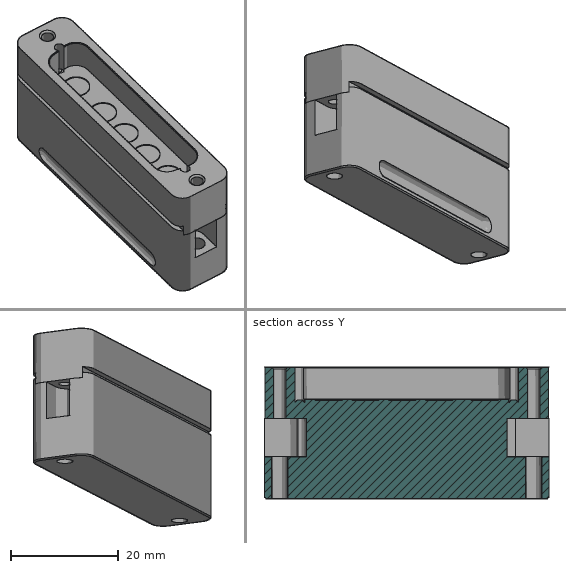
import cadquery as cq
import math


BODY_LENGTH = 52.73
CAP_LENGTH = 52.69
WIDTH = 12.18
HEIGHT = 24.38
CORNER_RADIUS = 2.59
BOTTOM_CHAMFER = 0.25

TONGUE_WIDTH = 9.76
TONGUE_BOTTOM_Z = 14.86
BODY_TOP_Z = 15.92
CAP_BOTTOM_Z = 17.0

POCKET_WIDTH = 8.6
POCKET_MID_LENGTH = 38.45
POCKET_SIDE_ANGLE = 10.0
POCKET_CORNER_RADIUS = 2.75
POCKET_DEPTH = 5.9
POCKET_CHAMFER = 0.15
CHAMFER_ANGLE = 45.0

RECESS_DIAMETER = 4.98
RECESS_DEPTH = 0.2
RECESS_PITCH = 6.83
RECESS_ROW_X = -6.03
RECESS_ROW_COUNT = 4
LONE_RECESS_X = -14.45

SCREW_X = 23.53
SCREW_HOLE_DIAMETER = 2.26
SCREW_COUNTERSINK_DIAMETER = 2.95
SCREW_CLEARANCE_DIAMETER = 2.95

PIN_X = 19.8
PIN_DIAMETER = 1.78
PIN_TIP_DIAMETER = 0.9
PIN_TIP_HEIGHT = 0.45
PIN_HOLE_BELOW_FLOOR = 0.6

WINDOW_WIDTH = 4.85
WINDOW_FLOOR_Z = 7.82
WINDOW_ARC_X = 22.25
WINDOW_NOTCH_DIAMETER = 2.36

GROOVE_CENTRE_X = 0.51
GROOVE_LENGTH = 36.6
GROOVE_WIDTH = 3.17
GROOVE_Z = 2.54
GROOVE_FLOOR_WIDTH = 0.48
GROOVE_DEPTH = 1.0


def cylinder(diameter, x, bottom_z, top_z):
    """Vertical cylinder on the centre plane of the part."""
    return cq.Workplane("XY", origin=(x, 0, bottom_z)).circle(diameter / 2).extrude(top_z - bottom_z)


def cone(bottom_diameter, top_diameter, x, bottom_z, top_z):
    """Vertical truncated cone on the centre plane of the part."""
    base = cq.Vector(x, 0, bottom_z)
    frustum = cq.Solid.makeCone(bottom_diameter / 2, top_diameter / 2, top_z - bottom_z, pnt=base)
    return cq.Workplane(frustum)


def rounded_block(length, bottom_z, top_z):
    """Full-width block with rounded vertical corners."""
    block = cq.Workplane("XY", origin=(0, 0, bottom_z)).rect(length, WIDTH).extrude(top_z - bottom_z)
    return block.edges("|Z").fillet(CORNER_RADIUS)


def tongue_zone(bottom_z, top_z):
    """Band along the length that limits the width of the tongue."""
    band = cq.Workplane("XY", origin=(0, 0, bottom_z))
    return band.rect(2 * BODY_LENGTH, TONGUE_WIDTH).extrude(top_z - bottom_z)


def make_shell():
    body = rounded_block(BODY_LENGTH, 0, BODY_TOP_Z).faces("<Z").chamfer(BOTTOM_CHAMFER)
    body = body.cut(tongue_zone(TONGUE_BOTTOM_Z, BODY_TOP_Z))
    tongue = rounded_block(CAP_LENGTH, TONGUE_BOTTOM_Z, CAP_BOTTOM_Z)
    tongue = tongue.intersect(tongue_zone(TONGUE_BOTTOM_Z, CAP_BOTTOM_Z))
    cap = rounded_block(CAP_LENGTH, CAP_BOTTOM_Z, HEIGHT)
    return body.union(tongue).union(cap)


def make_pocket():
    half_width = POCKET_WIDTH / 2
    half_mid = POCKET_MID_LENGTH / 2
    lean = half_width * math.tan(math.radians(POCKET_SIDE_ANGLE))
    outline = [
        (-half_mid + lean, -half_width),
        (half_mid - lean, -half_width),
        (half_mid + lean, half_width),
        (-half_mid - lean, half_width),
    ]
    pocket = cq.Workplane("XY", origin=(0, 0, HEIGHT - POCKET_DEPTH)).polyline(outline).close()
    pocket = pocket.extrude(POCKET_DEPTH).edges("|Z").fillet(POCKET_CORNER_RADIUS)
    mouth = pocket.faces(">Z").wires().toPending().offset2D(POCKET_CHAMFER)
    mouth = mouth.extrude(-POCKET_CHAMFER, combine=False, taper=CHAMFER_ANGLE)
    return pocket.union(mouth)


def make_contact_recesses():
    centres = [LONE_RECESS_X] + [RECESS_ROW_X + step * RECESS_PITCH for step in range(RECESS_ROW_COUNT)]
    recesses = cq.Workplane("XY", origin=(0, 0, HEIGHT - POCKET_DEPTH)).pushPoints([(x, 0) for x in centres])
    return recesses.circle(RECESS_DIAMETER / 2).extrude(-RECESS_DEPTH)


def make_screw_hole(x):
    sink_depth = (SCREW_COUNTERSINK_DIAMETER - SCREW_HOLE_DIAMETER) / 2
    hole = cylinder(SCREW_HOLE_DIAMETER, x, 0, HEIGHT)
    clearance = cylinder(SCREW_CLEARANCE_DIAMETER, x, 0, WINDOW_FLOOR_Z)
    sink = cone(SCREW_HOLE_DIAMETER, SCREW_COUNTERSINK_DIAMETER, x, HEIGHT - sink_depth, HEIGHT)
    return hole.union(clearance).union(sink)


def make_pin_hole(x):
    """Blind hole whose floor is the conical tip of the pin."""
    base_z = HEIGHT - POCKET_DEPTH - PIN_HOLE_BELOW_FLOOR
    hole = cylinder(PIN_DIAMETER, x, base_z, HEIGHT)
    tip = cone(PIN_DIAMETER, PIN_TIP_DIAMETER, x, base_z, base_z + PIN_TIP_HEIGHT)
    return hole.cut(tip)


def make_window(side):
    """Round-ended slot from an end face, notched at its end by the pin bore."""
    depth = TONGUE_BOTTOM_Z - WINDOW_FLOOR_Z
    reach = BODY_LENGTH / 2 - WINDOW_ARC_X
    slot = cq.Workplane("XY", origin=(side * (WINDOW_ARC_X + reach / 2), 0, WINDOW_FLOOR_Z))
    slot = slot.rect(reach, WINDOW_WIDTH).extrude(depth)
    slot = slot.union(cylinder(WINDOW_WIDTH, side * WINDOW_ARC_X, WINDOW_FLOOR_Z, TONGUE_BOTTOM_Z))
    return slot.union(cylinder(WINDOW_NOTCH_DIAMETER, side * PIN_X, WINDOW_FLOOR_Z, TONGUE_BOTTOM_Z))


def make_groove():
    """Groove with a flat floor, concave sides and revolved ends."""
    half_floor = GROOVE_FLOOR_WIDTH / 2
    half_width = GROOVE_WIDTH / 2
    arc_span = half_width - half_floor
    arc_radius = (arc_span**2 + GROOVE_DEPTH**2) / (2 * GROOVE_DEPTH)
    middle_angle = math.asin(arc_span / arc_radius) / 2
    arc_middle = (
        GROOVE_DEPTH - arc_radius * (1 - math.cos(middle_angle)),
        half_floor + arc_radius * math.sin(middle_angle),
    )
    straight_length = GROOVE_LENGTH - GROOVE_WIDTH
    start_x = GROOVE_CENTRE_X - straight_length / 2

    def half_section(x):
        section = cq.Workplane("YZ", origin=(x, -WIDTH / 2, GROOVE_Z))
        section = section.lineTo(GROOVE_DEPTH, 0).lineTo(GROOVE_DEPTH, half_floor)
        return section.threePointArc(arc_middle, (0, half_width)).close()

    upper_half = half_section(start_x).extrude(straight_length)
    groove = upper_half.union(upper_half.mirror("XY", (0, 0, GROOVE_Z)))
    for x in (start_x, start_x + straight_length):
        groove = groove.union(half_section(x).revolve(360, (0, 0), (1, 0)))
    return groove


result = make_shell().cut(make_pocket()).cut(make_contact_recesses()).cut(make_groove())
for side in (-1, 1):
    result = result.cut(make_screw_hole(side * SCREW_X))
    result = result.cut(make_pin_hole(side * PIN_X))
    result = result.cut(make_window(side))